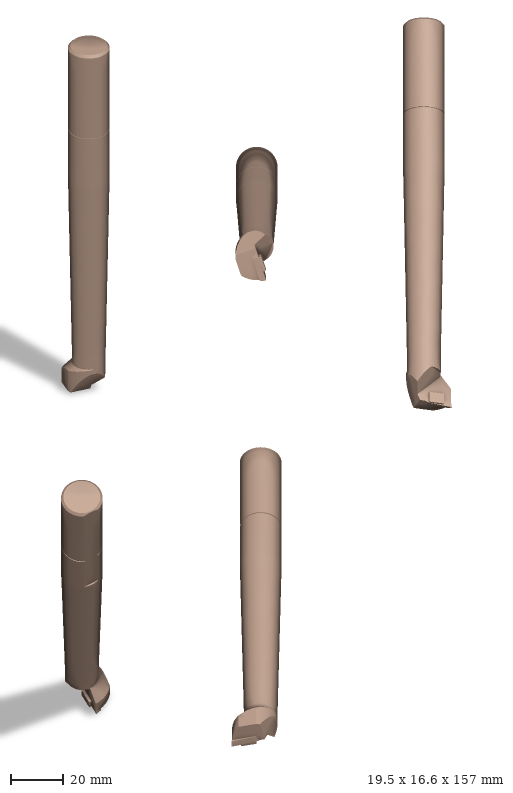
import cadquery as cq
import math

total_length = 157.0
shank_radius = 8.0
shank_bottom = 97.2
end_chamfer = 1.0
flat_offset = 7.4
flat_bottom = 99.0
groove_bottom = 119.3
groove_width = 0.5
groove_depth = 0.3

neck_diameter = 13.0
neck_radius = neck_diameter / 2
neck_top = 18.4
neck_bottom = 13.0

head_bottom = 1.3
head_radius = 11.0
head_front = 8.6
head_arc_angle = 205.0
shoulder_slope = 1.2
side_arc_middle = (4.0, -6.5)
side_arc_end = (neck_radius, -1.5)
pocket_wall_angle = 42.0
pocket_wall_offset = 5.3
pocket_undercut = 6.6
pocket_wall_foot = 4.2
heel_low = (1.49, head_bottom)
heel_high = (6.6, 11.0)

tip_reach = 11.5
insert_depth = 2.4
insert_clearance = 9.0
insert_top = 4.7
edge_end = (-1.9, 0.6)
insert_heel_x = -0.3
insert_flank_x = -10.5
breaker_height = 1.1
breaker_left = -7.8


def make_bar():
    """Shank, tapered bar and neck, revolved about Z."""
    groove_radius = shank_radius - groove_depth
    groove_top = groove_bottom + groove_width
    outline = [
        (0, neck_bottom),
        (neck_radius, neck_bottom),
        (neck_radius, neck_top),
        (shank_radius, shank_bottom),
        (shank_radius, groove_bottom),
        (groove_radius, groove_bottom),
        (groove_radius, groove_top),
        (shank_radius, groove_top),
        (shank_radius, total_length - end_chamfer),
        (shank_radius - end_chamfer, total_length),
        (0, total_length),
    ]
    bar = cq.Workplane("XZ").polyline(outline).close().revolve(360, (0, 0), (0, 1))
    flat_depth = shank_radius - flat_offset
    flat_cut = cq.Workplane("XY").box(
        flat_depth, 2 * shank_radius, total_length - flat_bottom, centered=(False, True, False)
    ).translate((-shank_radius, 0, flat_bottom))
    return bar.cut(flat_cut)


def make_chip_pocket():
    """Space cut away behind Y = 0, under a wall that leans in from the neck."""
    angle = math.radians(pocket_wall_angle)
    outward = (-math.sin(angle), math.cos(angle), 0)
    along = (math.cos(angle), math.sin(angle), 0)
    section = cq.Workplane(cq.Plane(origin=(0, 0, 0), xDir=outward, normal=along))
    wall_slope = (neck_bottom - pocket_wall_foot) / pocket_undercut
    inner_offset = pocket_wall_offset - neck_bottom / wall_slope
    space = (
        section.polyline([
            (inner_offset, 0),
            (pocket_wall_offset, neck_bottom),
            (head_radius, neck_bottom),
            (head_radius, 0),
        ])
        .close()
        .extrude(2 * head_radius, both=True)
    )
    behind = cq.Workplane("XY").box(
        4 * head_radius, 2 * head_radius, neck_bottom, centered=(True, False, False)
    )
    return space.intersect(behind)


def make_head():
    """Offset head with a conical shoulder, a chip pocket and a sloping heel."""
    corner_x = -math.sqrt(head_radius**2 - head_front**2)
    middle_angle = math.radians(head_arc_angle)
    arc_middle = (head_radius * math.cos(middle_angle), head_radius * math.sin(middle_angle))
    head = (
        cq.Workplane("XY", origin=(0, 0, head_bottom))
        .moveTo(-head_radius, 0)
        .threePointArc(arc_middle, (corner_x, -head_front))
        .lineTo(0, -head_front)
        .threePointArc(side_arc_middle, side_arc_end)
        .lineTo(neck_radius, 0)
        .threePointArc((0, neck_radius), (-neck_radius, 0))
        .close()
        .extrude(neck_bottom - head_bottom)
    )

    shoulder_drop = shoulder_slope * (head_radius - neck_radius)
    shoulder = (
        cq.Workplane("XZ")
        .polyline([
            (0, head_bottom),
            (head_radius, head_bottom),
            (head_radius, neck_bottom - shoulder_drop),
            (neck_radius, neck_bottom),
            (0, neck_bottom),
        ])
        .close()
        .revolve(360, (0, 0), (0, 1))
    )
    head = head.intersect(shoulder)

    heel_cut = (
        cq.Workplane("XZ")
        .polyline([heel_low, heel_high, (heel_high[0], heel_low[1])])
        .close()
        .extrude(head_radius, both=True)
    )

    return head.cut(heel_cut).cut(make_chip_pocket())


def make_insert():
    """Pointed insert with clearance below its top face and a raised chip breaker."""
    plate = (
        cq.Workplane("XZ")
        .polyline([
            (-tip_reach, 0),
            edge_end,
            (insert_heel_x, head_bottom),
            (edge_end[0], insert_top),
            (insert_flank_x, insert_top),
        ])
        .close()
        .extrude(insert_depth, taper=insert_clearance)
    )
    breaker = cq.Workplane("XY").box(
        edge_end[0] - breaker_left, breaker_height, insert_top - edge_end[1], centered=False
    ).translate((breaker_left, 0, edge_end[1]))
    return plate.union(breaker)


insert = make_insert()
boring_bar = make_bar().union(make_head()).cut(insert)

result = cq.Compound.makeCompound([boring_bar.val(), insert.val()])